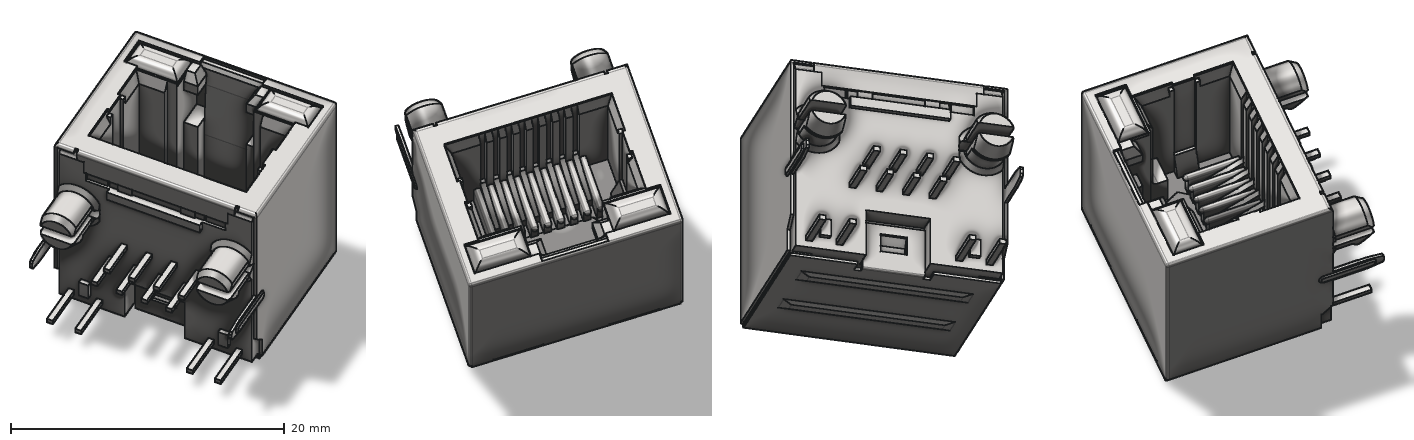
import cadquery as cq
import math


sheet = 0.22
half_width = 8.28
front_y = -4.57
back_y = 8.62
top_z = 7.83
side_bottom_z = -7.52
bottom_plate_z = -7.9
bottom_plate_front_y = -3.65
front_bend = 0.3
inner_half_width = half_width - sheet
inner_top_z = top_z - sheet
inner_back_y = back_y - sheet

flap_half_width = 6.47
flap_step_z = 7.0
flap_lower_half_width = 5.9
flap_bottom_z = 5.93
relief_width = 0.25

mouth_half_width = 6.47
mouth_front_y = -2.67
mouth_back_y = 5.18
lead_in = 0.45
lead_in_depth = 0.86
cavity_half_width = mouth_half_width - lead_in
cavity_front_y = mouth_front_y + lead_in
cavity_floor_z = -3.45
shoulder_half_gap = 3.92
shoulder_y = 3.52
shoulder_z = -0.86
shoulder_round = 0.41
latch_half_width = 3.14
guide_x = (1.98, latch_half_width)
guide_front_y = 6.3
guide_gap_z = (2.65, 5.99)
guide_bevel = (0.72, 0.48)
latch_wall_back_y = 8.07
side_slot_y = (0.43, 2.15)
side_slot_half_width = 6.26
slot_lip = 0.35
slot_lip_outer_x = 6.35
slot_lip_top_z = 7.42
wedge_inner_x = 5.35
wedge_height = 2.07
back_notch_half_width = 2.55

light_x = (3.17, 7.55)
light_y = (5.35, 7.76)
light_top_z = 8.1
light_round = 0.86
light_base_z = 5.18

tongue_half_width = 2.38
tongue_top_z = -4.12
tongue_front_y = -3.17
tongue_window_half_width = 1.02
tongue_window_z = (-6.31, -4.88)
catch_depth = 0.35
catch_slope_z = -5.55
bay_half_width = 2.54
bay_top_z = -3.83
bay_back_y = tongue_front_y + sheet
tongue_relief = 0.52
fold_slot_x = (2.54, 6.38)

corner_cut_y = -3.65
corner_cut_z = (-5.83, -5.0)
ground_pin_z = -1.09
ground_pin_half_height = 0.59
ground_pin_tip_y = -8.62
ground_rib_half_height = 0.4
ground_rib_y = (-7.99, -3.45)
ground_rib_out = 0.14
ground_rib_bevel = 0.12
bump_ys = (3.92, -0.75)
bump_base = (13.11, 1.45)
bump_crest = (11.73, 0.69)
bump_height = 0.19

body_half_width = 7.9
body_bottom_z = -7.52
standoff_y = -4.95
clearance_bottom_z = 5.18
clearance_half_width = 5.73
clearance_groove_x = (3.88, 4.04)
clearance_pad_x = (2.0, 3.14)
bar_half_width = 3.81
bar_z = (4.42, clearance_bottom_z)
standoff_x = (5.31, 6.1)
standoff_z = (-6.55, -5.21)
foot_x = (6.38, body_half_width)
foot_y = (-3.62, -2.83)

peg_x = 6.4
peg_z = 2.35
peg_radius = 1.64
peg_barb_radius = 1.81
peg_tip_radius = 1.33
peg_tip_y = -8.07
peg_taper_y = -7.54
peg_barb_start_y = -6.35
peg_barb_y = (-6.87, -6.59)
peg_slot_mouth_y = -4.83
peg_half_width = 1.38
peg_collar_radius = 2.02
peg_collar_inner = 1.83
peg_slot_half_height = 0.41
peg_slot_apex_y = -4.21

contact_pitch = 1.02
pin_size = (0.48, 0.38)
signal_tip_y = -7.45
signal_row_zs = (-0.19, -1.95)
light_pin_xs = (4.57, 6.88)
light_pin_z = -6.8
light_pin_tip_y = -8.1
contact_count = 8
comb_width = 0.55
comb_y = (cavity_front_y, 2.25)
comb_top_z = -1.38
contact_width = contact_pitch - comb_width
contact_back_y = 0.88
contact_bend_y = -2.38
contact_z = (comb_top_z - 1.04, comb_top_z + 0.35)
shelf_height = 0.17


def box(x, y, z):
    """Block spanning the given (low, high) ranges."""
    size = (x[1] - x[0], y[1] - y[0], z[1] - z[0])
    return cq.Workplane("XY").box(*size, centered=False).translate((x[0], y[0], z[0]))


def wide(half, y, z):
    """Block centred on X = 0."""
    return box((-half, half), y, z)


def side_profile(points, x):
    """(y, z) outline extruded between two X values."""
    outline = cq.Workplane("YZ").polyline(points).close()
    return outline.extrude(x[1] - x[0]).translate((x[0], 0, 0))


def both_sides(shape):
    """The shape together with its mirror image in X."""
    return shape.union(shape.mirror("YZ"))


def shield_shell():
    """Top, back, side and front walls with rounded bends, open at the bottom."""
    outer = wide(half_width, (front_y, back_y), (side_bottom_z, top_z))
    outer = outer.edges("|Y and >Z").fillet(sheet)
    outer = outer.edges("|X and >Z and >Y").fillet(sheet)
    bent_front = wide(half_width, (front_y, back_y), (side_bottom_z, top_z))
    outer = outer.intersect(bent_front.edges("|X and >Z and <Y").fillet(front_bend))
    hollow = wide(inner_half_width, (front_y + sheet, inner_back_y), (side_bottom_z, inner_top_z))
    hollow = hollow.edges("|X and >Z and <Y").fillet(front_bend - sheet)
    return outer.cut(hollow)


def front_opening():
    """Part of the front wall that is missing around the stepped flap."""
    y = (front_y, front_y + sheet)
    flap = wide(flap_half_width, y, (flap_step_z, inner_top_z))
    flap = flap.union(wide(flap_lower_half_width, y, (flap_bottom_z, inner_top_z)))
    return wide(inner_half_width, y, (side_bottom_z, top_z - front_bend)).cut(flap)


def flap_reliefs():
    """Slits in the bend at both ends of the flap."""
    x = (flap_half_width, flap_half_width + relief_width)
    return both_sides(box(x, (front_y, front_y + front_bend), (inner_top_z - sheet, top_z)))


def plate_opening():
    """Opening in the top plate for the mouth, the lights and the latch notch."""
    z = (inner_top_z, top_z)
    mouth = wide(mouth_half_width, (mouth_front_y, light_y[0]), z)
    mouth = mouth.cut(both_sides(box((side_slot_half_width, mouth_half_width), side_slot_y, z)))
    lights = wide(light_x[1], light_y, z)
    notch = wide(back_notch_half_width, (light_y[1], inner_back_y), z)
    return mouth.union(lights).union(notch)


def corner_cuts():
    """Bevelled cut-outs at the lower front corners of the side walls."""
    points = [
        (front_y, corner_cut_z[1]),
        (corner_cut_y, corner_cut_z[0]),
        (corner_cut_y, side_bottom_z),
        (front_y, side_bottom_z),
    ]
    return both_sides(side_profile(points, (inner_half_width, half_width)))


def bottom_plate():
    """Plate folded forward from the back wall, with a tongue folded up at its front."""
    top = bottom_plate_z + sheet
    plate = wide(inner_half_width, (bottom_plate_front_y, back_y), (bottom_plate_z, top))
    fold = wide(inner_half_width, (inner_back_y, back_y), (bottom_plate_z, side_bottom_z))
    plate = plate.union(fold).edges("|X and >Y and <Z").fillet(sheet)
    slots = both_sides(box(fold_slot_x, (inner_back_y, back_y), (top, side_bottom_z)))
    plate = plate.cut(slots)
    gap = tongue_half_width + tongue_relief
    plate = plate.cut(wide(gap, (bottom_plate_front_y, bay_back_y + sheet), (bottom_plate_z, top)))
    tongue_y = (tongue_front_y, tongue_front_y + sheet)
    tongue = wide(tongue_half_width, tongue_y, (bottom_plate_z, tongue_top_z))
    base = wide(tongue_half_width, (tongue_front_y, bay_back_y + 2 * sheet), (bottom_plate_z, top))
    tongue = tongue.union(base).edges("|X and <Y and <Z").fillet(front_bend / 2)
    tongue = tongue.cut(wide(tongue_window_half_width, tongue_y, tongue_window_z))
    return plate.union(tongue)


def bottom_bump(y):
    """Flat-topped ridge pressed out of the bottom plate."""
    base = cq.Workplane("XY", origin=(0, y, bottom_plate_z)).rect(*bump_base)
    return base.workplane(offset=-bump_height).rect(*bump_crest).loft()


def ground_pin():
    """Pointed blade reaching forward from the +X wall, stiffened by a pressed rib."""
    lower = [
        (front_y, -ground_pin_half_height),
        (-7.33, -ground_pin_half_height),
        (-7.76, -0.52),
        (-8.52, -ground_rib_half_height),
        (ground_pin_tip_y, -0.17),
    ]
    outline = lower + [(y, -z) for y, z in reversed(lower)]
    outline = [(y, ground_pin_z + z) for y, z in outline]
    blade = side_profile(outline, (inner_half_width, half_width))
    rib_length = ground_rib_y[1] - ground_rib_y[0]
    rib = (
        cq.Workplane("YZ", origin=(inner_half_width + sheet / 2, sum(ground_rib_y) / 2, ground_pin_z))
        .slot2D(rib_length, 2 * ground_rib_half_height)
        .extrude(sheet / 2 + ground_rib_out)
        .faces(">X")
        .edges()
        .chamfer(ground_rib_bevel)
    )
    return blade.union(rib)


def make_shield():
    shield = shield_shell().cut(front_opening()).cut(flap_reliefs())
    shield = shield.cut(plate_opening()).cut(corner_cuts()).union(bottom_plate())
    for y in bump_ys:
        shield = shield.union(bottom_bump(y))
    return shield.union(both_sides(ground_pin()))


def connector_block():
    """Moulded block, bevelled along its upper front edge and recessed for the flap."""
    block = wide(body_half_width, (front_y, inner_back_y), (body_bottom_z, inner_top_z))
    bevel = [
        (front_y, flap_step_z),
        (front_y + 0.15, 7.23),
        (front_y + front_bend + 0.07, inner_top_z),
        (front_y, inner_top_z),
    ]
    block = block.cut(side_profile(bevel, (-body_half_width, body_half_width)))
    y = (front_y, front_y + sheet)
    block = block.cut(wide(flap_half_width, y, (flap_step_z, inner_top_z)))
    return block.cut(wide(flap_lower_half_width, y, (flap_bottom_z, flap_step_z)))


def flap_clearance():
    """Shallow recess under the flap, with two grooves in its floor and two raised pads."""
    z = (clearance_bottom_z, flap_bottom_z)
    floor_y = front_y + sheet
    recess = wide(clearance_half_width, (front_y, floor_y), z)
    recess = recess.union(both_sides(box(clearance_groove_x, (front_y, floor_y + sheet), z)))
    return recess.cut(both_sides(box(clearance_pad_x, (floor_y - sheet / 2, floor_y), z)))


def plug_cavity():
    """Room for the plug: sloping lead-in, shoulders and a channel for the plug latch."""
    mouth_length = mouth_back_y - mouth_front_y
    slope = math.degrees(math.atan(lead_in / lead_in_depth))
    entry = (
        cq.Workplane("XY", origin=(0, mouth_front_y + mouth_length / 2, inner_top_z))
        .rect(2 * mouth_half_width, mouth_length)
        .extrude(-lead_in_depth, taper=slope)
    )
    z = (cavity_floor_z, inner_top_z)
    main = wide(cavity_half_width, (cavity_front_y, shoulder_y), z)
    shoulder_back_y = mouth_back_y - lead_in
    over_shoulders = wide(cavity_half_width, (cavity_front_y, shoulder_back_y), (shoulder_z, inner_top_z))
    over_shoulders = over_shoulders.edges("|X and >Y and <Z").fillet(shoulder_round)
    between_shoulders = wide(shoulder_half_gap, (cavity_front_y, mouth_back_y), z)
    latch_wall = [
        (shoulder_y, inner_top_z),
        (latch_wall_back_y, inner_top_z),
        (7.8, 7.33),
        (7.59, flap_bottom_z),
        (7.3, 1.04),
        (7.3, cavity_floor_z),
        (shoulder_y, cavity_floor_z),
    ]
    latch_channel = side_profile(latch_wall, (-latch_half_width, latch_half_width))
    cavity = entry.union(main).union(between_shoulders).union(over_shoulders).union(latch_channel)
    side_wall = box((side_slot_half_width, mouth_half_width), side_slot_y, z)
    cavity = cavity.cut(both_sides(side_wall))
    return cavity.union(wide(side_slot_half_width, side_slot_y, z))


def latch_guide():
    """Guide rib beside the latch channel, interrupted half way down, +X side."""
    y = (guide_front_y, light_y[1])
    upper = box(guide_x, y, (guide_gap_z[1], inner_top_z))
    upper = upper.faces(">Z").edges("<X or <Y").chamfer(*guide_bevel)
    return upper.union(box(guide_x, y, (cavity_floor_z, guide_gap_z[0])))


def guide_gap():
    """Gap in the +X guide rib, open back to the shield."""
    return box(guide_x, (guide_front_y, inner_back_y), guide_gap_z)


def side_wedge():
    """Sloping nub at the foot of the side slot, +X side."""
    crest_z = cavity_floor_z + wedge_height
    points = [
        (wedge_inner_x, cavity_floor_z),
        (side_slot_half_width, cavity_floor_z),
        (side_slot_half_width, crest_z),
        (cavity_half_width, crest_z),
    ]
    nub = cq.Workplane("XZ", origin=(0, side_slot_y[1], 0)).polyline(points).close()
    return nub.extrude(side_slot_y[1] - side_slot_y[0])


def slot_lips():
    """Flat lips either side of the side slot that interrupt the lead-in, +X side."""
    x = (cavity_half_width, slot_lip_outer_x)
    z = (inner_top_z - lead_in_depth, slot_lip_top_z)
    y_low, y_high = side_slot_y
    lips = box(x, (y_low - slot_lip, y_low), z)
    return lips.union(box(x, (y_high, y_high + slot_lip), z))


def light_pocket():
    """Clearance around the rounded top of the +X light."""
    return box(light_x, light_y, (light_top_z - light_round, inner_top_z))


def light():
    """Light with all four upper edges rounded and mitred at the corners, +X side."""
    z = (light_base_z, light_top_z)
    block = box(light_x, light_y, z)
    along_x = block.edges("|X and >Z").fillet(light_round)
    along_y = block.edges("|Y and >Z").fillet(light_round)
    return along_x.intersect(along_y)


def tongue_bay():
    """Bay in the lower front face that takes the shield tongue, with clearance on its -X side."""
    x = (-bay_half_width, tongue_half_width)
    return box(x, (front_y, bay_back_y), (body_bottom_z, bay_top_z))


def catch_pocket():
    """Pocket with a sloping roof behind the window of the tongue."""
    low, high = tongue_window_z
    back = bay_back_y + catch_depth
    points = [(bay_back_y, low), (back, low), (back, catch_slope_z), (bay_back_y, high)]
    return side_profile(points, (-tongue_window_half_width, tongue_window_half_width))


def peg_turning(profile):
    """Solid turned about a peg axis from (radius, y) points."""
    return cq.Workplane("XY").polyline(profile).close().revolve(360, (0, 0, 0), (0, 1, 0))


def peg():
    """Split peg at the origin of X and Z: plain upper half, barbed lower half, flared collar."""
    reach = (peg_tip_y, front_y)
    plain = peg_turning([
        (0, front_y), (peg_radius, front_y), (peg_radius, peg_taper_y),
        (peg_tip_radius, peg_tip_y), (0, peg_tip_y),
    ])
    barbed = peg_turning([
        (0, front_y), (peg_radius, front_y), (peg_radius, peg_barb_start_y), (peg_barb_radius, peg_barb_y[1]),
        (peg_barb_radius, peg_barb_y[0]), (peg_tip_radius, peg_tip_y), (0, peg_tip_y),
    ])
    upper = plain.intersect(wide(peg_half_width, reach, (0, peg_barb_radius)))
    lower = barbed.intersect(wide(peg_half_width, reach, (-peg_barb_radius, 0)))
    collar = peg_turning([
        (0, front_y), (peg_collar_radius, front_y), (peg_radius, standoff_y), (0, standoff_y),
    ])
    collar_x = (-peg_collar_inner, body_half_width - peg_x)
    collar = collar.intersect(box(collar_x, reach, (-peg_collar_radius, peg_collar_radius)))
    return upper.union(lower).union(collar)


def peg_slot():
    """Slot that splits the peg and ends in a V inside the block."""
    points = [
        (peg_tip_y, -peg_slot_half_height),
        (peg_slot_mouth_y, -peg_slot_half_height),
        (peg_slot_apex_y, 0),
        (peg_slot_mouth_y, peg_slot_half_height),
        (peg_tip_y, peg_slot_half_height),
    ]
    return side_profile(points, (-peg_collar_inner, body_half_width - peg_x))


def pin(x, z, tip_y):
    """Straight solder pin reaching forward from the front face."""
    half_x = pin_size[0] / 2
    half_z = pin_size[1] / 2
    return box((x - half_x, x + half_x), (tip_y, front_y), (z - half_z, z + half_z))


def comb_rib(x):
    """Round-topped rib between neighbouring contacts."""
    half = comb_width / 2
    axis_z = comb_top_z - half
    tip_y = comb_y[1] - half
    web = box((x - half, x + half), (comb_y[0], tip_y), (cavity_floor_z, axis_z))
    top = cq.Workplane("XZ", origin=(x, tip_y, axis_z)).circle(half).extrude(tip_y - comb_y[0])
    return web.union(top).union(cq.Workplane("XY").sphere(half).translate((x, tip_y, axis_z)))


def floor_shelf():
    """Low six-sided shelf on the cavity floor behind the contacts."""
    edge = [(3.54, 1.86), (4.14, 2.67), (3.57, 3.83)]
    outline = edge + [(-x, y) for x, y in reversed(edge)]
    shelf = cq.Workplane("XY", origin=(0, 0, cavity_floor_z)).polyline(outline).close()
    return shelf.extrude(shelf_height)


def contact_slot(x):
    """Slot in the front wall of the cavity behind one contact."""
    half = contact_width / 2
    return box((x - half, x + half), (mouth_front_y, cavity_front_y), (cavity_floor_z, inner_top_z))


def contact(x):
    """Contact sloping down from the front wall to the cavity floor."""
    half = contact_width / 2
    points = [
        (mouth_front_y, cavity_floor_z),
        (contact_back_y, cavity_floor_z),
        (contact_back_y, contact_z[0]),
        (contact_bend_y, contact_z[1]),
        (mouth_front_y, contact_z[1]),
    ]
    return side_profile(points, (x - half, x + half))


def make_connector():
    connector = connector_block().cut(flap_clearance()).cut(plug_cavity())
    connector = connector.union(both_sides(latch_guide())).cut(both_sides(guide_gap()))
    connector = connector.union(both_sides(side_wedge()))
    connector = connector.union(both_sides(slot_lips())).union(floor_shelf())
    connector = connector.cut(both_sides(light_pocket())).union(both_sides(light()))
    connector = connector.cut(tongue_bay()).cut(catch_pocket())

    contact_xs = [(i - (contact_count - 1) / 2) * contact_pitch for i in range(contact_count)]
    for x in contact_xs:
        connector = connector.cut(contact_slot(x)).union(contact(x))
    for i in range(contact_count + 1):
        connector = connector.union(comb_rib((i - contact_count / 2) * contact_pitch))

    for i, x in enumerate(contact_xs):
        row_z = signal_row_zs[(i + 1) % 2]
        connector = connector.union(pin(x, row_z, signal_tip_y))
    for x in light_pin_xs:
        connector = connector.union(both_sides(pin(x, light_pin_z, light_pin_tip_y)))

    board_gap = (standoff_y, front_y)
    connector = connector.union(wide(bar_half_width, board_gap, bar_z))
    connector = connector.union(both_sides(box(standoff_x, board_gap, standoff_z)))
    foot = box(foot_x, foot_y, (bottom_plate_z + sheet, body_bottom_z))
    connector = connector.union(both_sides(foot))

    place = (peg_x, 0, peg_z)
    connector = connector.union(both_sides(peg().translate(place)))
    return connector.cut(both_sides(peg_slot().translate(place)))


shield = make_shield()
connector = make_connector()
result = cq.Compound.makeCompound([*shield.solids().vals(), *connector.solids().vals()])